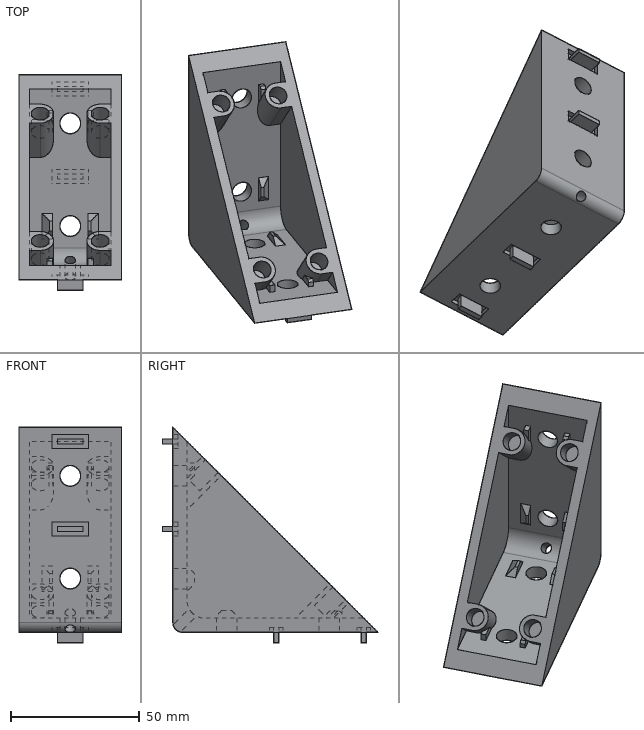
import cadquery as cq
import math


overall = 84.0
width = 40.0
tab_height = 4.0
leg = overall - tab_height

side_wall = 4.0
leg_wall = 5.55
outer_corner_radius = 3.95
inner_corner_radius = 7.0
corner_hole_diameter = 4.0

mount_hole_diameter = 8.0
mount_hole_places = (21.0, 61.0)

tab_places = (40.3, 74.3)
tab_width = 10.0
tab_thickness = 2.0
recess_width = 14.0
recess_length = 5.4
recess_depth = 2.0

rib_inner_x = 7.0
rib_height = 2.9
rib_crest_width = 1.1
rib_crest_length = 4.0
bar_width = 2.0
bar_height = 2.85
bar_chamfer = 1.0

boss_x = 11.7
boss_radius = 5.2
boss_end_inset = 15.2
boss_hole_diameter = 7.0
boss_hole_depth = 10.1

pocket_width = width - 2 * side_wall
slope_length = leg * math.sqrt(2)
rib_length = rib_crest_length + 2 * rib_height
overlap = 0.8


def triangle_prism(inset, prism_width):
    """Prism between the two legs' planes, moved inward by inset, and the sloping face."""
    return (
        cq.Workplane("YZ")
        .moveTo(inset, inset)
        .lineTo(leg - inset, inset)
        .lineTo(inset, leg - inset)
        .close()
        .extrude(prism_width / 2, both=True)
    )


def swap_legs(shape):
    """Reflect a feature of the lying leg onto the standing leg by exchanging Y and Z."""
    return shape.rotate((0, 0, 0), (0, 1, 1), 180).mirror("YZ")


def on_both_legs(shape):
    return shape.union(swap_legs(shape))


def sloped_rib(place, side):
    """Rib with an upright inner flank and 45 degree slopes on its other three flanks."""
    base_width = rib_crest_width + rib_height
    ridge = (
        cq.Workplane("XZ", origin=(0, place + rib_length / 2, leg_wall))
        .moveTo(side * rib_inner_x, -overlap)
        .lineTo(side * (rib_inner_x + base_width), -overlap)
        .lineTo(side * (rib_inner_x + base_width), 0)
        .lineTo(side * (rib_inner_x + rib_crest_width), rib_height)
        .lineTo(side * rib_inner_x, rib_height)
        .close()
        .extrude(rib_length)
    )
    length_profile = (
        cq.Workplane("YZ", origin=(0, place, leg_wall))
        .moveTo(-rib_length / 2, -overlap)
        .lineTo(rib_length / 2, -overlap)
        .lineTo(rib_length / 2, 0)
        .lineTo(rib_crest_length / 2, rib_height)
        .lineTo(-rib_crest_length / 2, rib_height)
        .lineTo(-rib_length / 2, 0)
        .close()
        .extrude(width / 2, both=True)
    )
    return ridge.intersect(length_profile)


def bar_rib(place, side):
    """Upright bar; the one on the -X side has its crest end away from the corner chamfered."""
    bar = (
        cq.Workplane("XY", origin=(side * (rib_inner_x + bar_width / 2), place, leg_wall - overlap))
        .rect(bar_width, rib_length)
        .extrude(bar_height + overlap)
    )
    if side < 0:
        bar = bar.faces(">Z").edges(">Y").chamfer(bar_chamfer)
    return bar


slope_face = cq.Workplane(cq.Plane(origin=(0, leg / 2, leg / 2), xDir=(1, 0, 0), normal=(0, 1, 1)))
boss_slope_y = slope_length / 2 - boss_end_inset * math.sqrt(2)
boss_centres = [(sx * boss_x, sy * boss_slope_y) for sx in (-1, 1) for sy in (-1, 1)]
boss_web_width = width / 2 - boss_x
boss_web_x = boss_x + boss_web_width / 2
boss_web_centres = [(sx * boss_web_x, sy * boss_slope_y) for sx in (-1, 1) for sy in (-1, 1)]

outer = triangle_prism(0, width)
outer = outer.edges(cq.selectors.NearestToPointSelector((0, 0, 0))).fillet(outer_corner_radius)
pocket = triangle_prism(leg_wall, pocket_width)
pocket = pocket.edges(cq.selectors.NearestToPointSelector((0, leg_wall, leg_wall))).fillet(inner_corner_radius)
result = outer.cut(pocket)

near_place, far_place = mount_hole_places
for side in (-1, 1):
    result = result.union(on_both_legs(sloped_rib(near_place, side)))
    result = result.union(on_both_legs(bar_rib(far_place, side)))

bosses = slope_face.pushPoints(boss_centres).circle(boss_radius).extrude(-leg)
webs = slope_face.pushPoints(boss_web_centres).rect(boss_web_width, 2 * boss_radius).extrude(-leg)
result = result.union(bosses.union(webs).intersect(outer))
boss_holes = slope_face.pushPoints(boss_centres).circle(boss_hole_diameter / 2).extrude(-boss_hole_depth)
result = result.cut(boss_holes)

mount_holes = (
    cq.Workplane("XY")
    .pushPoints([(0, place) for place in mount_hole_places])
    .circle(mount_hole_diameter / 2)
    .extrude(leg_wall)
)
result = result.cut(on_both_legs(mount_holes))

corner_hole_length = (leg_wall + inner_corner_radius) * math.sqrt(2)
corner_plane = cq.Plane(origin=(0, 0, 0), xDir=(1, 0, 0), normal=(0, 1, 1))
result = result.cut(cq.Workplane(corner_plane).circle(corner_hole_diameter / 2).extrude(corner_hole_length))

tab_centres = [(0, place) for place in tab_places]
recesses = cq.Workplane("XY").pushPoints(tab_centres).rect(recess_width, recess_length).extrude(recess_depth)
tabs = (
    cq.Workplane("XY", origin=(0, 0, -tab_height))
    .pushPoints(tab_centres)
    .rect(tab_width, tab_thickness)
    .extrude(tab_height + recess_depth)
)
result = result.cut(on_both_legs(recesses)).union(on_both_legs(tabs))